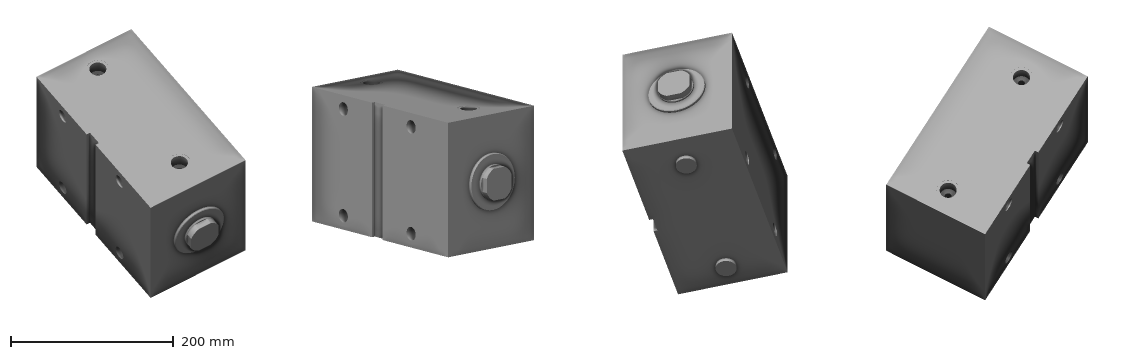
import cadquery as cq


overall_length = 270.0
rod_reach = 15.0
block_length = overall_length - rod_reach
block_width = 140.0
block_height = 170.0
front_y = -block_width / 2
top_z = block_height / 2
bottom_z = -block_height / 2

groove_x = 122.0
groove_width = 20.0
groove_depth = 4.9
mount_hole_diameter = 17.0
mount_spacing_x = 127.0
mount_spacing_z = 135.0

first_port_x = 31.0
port_spacing = 182.0
port_xs = [first_port_x, first_port_x + port_spacing]
spotface_diameter = 28.0
spotface_depth = 0.3
port_diameter = 21.0
port_depth = 16.0
oil_hole_diameter = 8.6
plug_diameter = 26.0
plug_height = 4.9

rod_diameter = 45.0
rod_start_x = 20.0
rod_shoulder_reach = 6.5
shoulder_bevel_length = 0.8
wrench_end_diameter = 44.0
across_flats = 40.2
gland_diameter = 72.4
gland_thickness = 3.8
gland_chamfer = 0.8


def vertical_cylinder(x, diameter, start_z, height):
    """Cylinder standing on the centre plane Y = 0, from start_z upward."""
    return cq.Workplane("XY", origin=(x, 0, start_z)).circle(diameter / 2).extrude(height)


def axial_cylinder(diameter, start_x, end_x):
    """Cylinder along the rod axis."""
    return cq.Workplane("YZ", origin=(start_x, 0, 0)).circle(diameter / 2).extrude(end_x - start_x)


def port_cutter(x):
    """Shallow spotface, wide bore and a narrow oil hole that reaches the rod."""
    spotface = vertical_cylinder(x, spotface_diameter, top_z - spotface_depth, spotface_depth)
    bore = vertical_cylinder(x, port_diameter, top_z - port_depth, port_depth)
    oil_hole = vertical_cylinder(x, oil_hole_diameter, 0, top_z)
    return spotface.union(bore).union(oil_hole)


def make_block():
    block = cq.Workplane("XY").box(block_length, block_width, block_height)
    block = block.translate((block_length / 2, 0, 0))

    groove = cq.Workplane("XY").box(groove_width, 2 * groove_depth, block_height)
    block = block.cut(groove.translate((groove_x, front_y, 0)))

    mount_holes = (
        cq.Workplane("XZ", origin=(groove_x, 0, 0))
        .rarray(mount_spacing_x, mount_spacing_z, 2, 2)
        .circle(mount_hole_diameter / 2)
        .extrude(block_width / 2, both=True)
    )
    block = block.cut(mount_holes)

    for x in port_xs:
        block = block.cut(port_cutter(x))

    return block.cut(axial_cylinder(rod_diameter, rod_start_x, block_length))


def make_rod():
    """Round rod with a bevelled shoulder and a slimmer outer end milled to four wrench flats."""
    shoulder_x = block_length + rod_shoulder_reach
    body = (
        cq.Workplane("XY")
        .moveTo(rod_start_x, 0)
        .lineTo(rod_start_x, rod_diameter / 2)
        .lineTo(shoulder_x - shoulder_bevel_length, rod_diameter / 2)
        .lineTo(shoulder_x, wrench_end_diameter / 2)
        .lineTo(shoulder_x, 0)
        .close()
        .revolve(360, (0, 0, 0), (1, 0, 0))
    )
    square = (
        cq.Workplane("YZ", origin=(shoulder_x, 0, 0))
        .rect(across_flats, across_flats)
        .extrude(overall_length - shoulder_x)
    )
    wrench_end = axial_cylinder(wrench_end_diameter, shoulder_x, overall_length).intersect(square)
    return body.union(wrench_end)


def make_gland():
    """Ring around the rod, seated on the block's end face."""
    disc = axial_cylinder(gland_diameter, block_length, block_length + gland_thickness)
    disc = disc.faces(">X").chamfer(gland_chamfer)
    return disc.cut(axial_cylinder(rod_diameter, block_length, overall_length))


def make_plug(x):
    """Round plug head seated against the underside of the block."""
    return vertical_cylinder(x, plug_diameter, bottom_z - plug_height, plug_height)


block = make_block()
rod = make_rod()
gland = make_gland()
plugs = [make_plug(x).val() for x in port_xs]

result = cq.Compound.makeCompound([block.val(), rod.val(), gland.val(), *plugs])